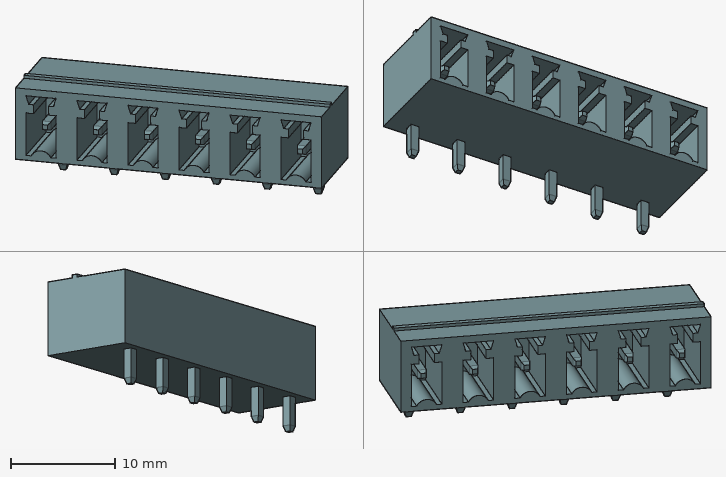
import cadquery as cq
import math

contact_count = 6
pitch = 5.08
housing_length = contact_count * pitch
housing_depth = 9.2
housing_height = 7.25

rib_front = 2.9
rib_width = 0.6
rib_height = 0.3

cavity_depth = 7.0
cavity_width = 3.0
cavity_floor = 0.5
shoulder_height = 4.8
neck_width = 1.5
neck_top = 5.7
slot_base_width = 2.45
slot_top = 6.55

hump_radius = 1.1

pin_width = 0.85
pin_tip_width = 0.5
pin_taper_length = 0.55
contact_height = 3.0
contact_tip_recess = 1.45
leg_setback_from_rear = 1.25
leg_axis_y = housing_depth - leg_setback_from_rear
leg_length = 3.4


def make_housing():
    """Plain block with the rib on its top face."""
    block = cq.Workplane("XY").box(
        housing_length, housing_depth, housing_height, centered=(True, False, False)
    )
    rib = (
        cq.Workplane("XY")
        .box(housing_length, rib_width, rib_height, centered=(True, False, False))
        .translate((0, rib_front, housing_height))
    )
    return block.union(rib)


def make_cavity():
    """Solid removed for one contact: wide lower chamber, neck and dovetail slot."""
    half_width = cavity_width / 2
    half_neck = neck_width / 2
    half_slot_base = slot_base_width / 2
    half_hump = math.sqrt(hump_radius**2 - cavity_floor**2)
    return (
        cq.Workplane("XZ")
        .moveTo(-half_hump, cavity_floor)
        .threePointArc((0, hump_radius), (half_hump, cavity_floor))
        .lineTo(half_width, cavity_floor)
        .lineTo(half_width, shoulder_height)
        .lineTo(half_neck, shoulder_height)
        .lineTo(half_neck, neck_top)
        .lineTo(half_slot_base, neck_top)
        .lineTo(half_width, slot_top)
        .lineTo(-half_width, slot_top)
        .lineTo(-half_slot_base, neck_top)
        .lineTo(-half_neck, neck_top)
        .lineTo(-half_neck, shoulder_height)
        .lineTo(-half_width, shoulder_height)
        .lineTo(-half_width, cavity_floor)
        .close()
        .extrude(-cavity_depth)
    )


def make_bar(length):
    """Square bar from the origin down to Z = -length, with a tapered lower end."""
    shank_length = length - pin_taper_length
    shank = cq.Workplane("XY").rect(pin_width, pin_width).extrude(-shank_length)
    taper = (
        cq.Workplane("XY", origin=(0, 0, -shank_length))
        .rect(pin_width, pin_width)
        .workplane(offset=-pin_taper_length)
        .rect(pin_tip_width, pin_tip_width)
        .loft(ruled=True)
    )
    return shank.union(taper)


def make_pin():
    """Right-angle pin: a contact pointing to the front and a leg pointing down."""
    leg = make_bar(contact_height + leg_length).translate((0, leg_axis_y, contact_height))
    contact = (
        make_bar(leg_axis_y - contact_tip_recess)
        .rotate((0, 0, 0), (1, 0, 0), -90)
        .translate((0, leg_axis_y, contact_height))
    )
    return leg.union(contact)


result = make_housing()
cavity = make_cavity()
pin = make_pin()
for index in range(contact_count):
    contact_position = ((index - (contact_count - 1) / 2) * pitch, 0, 0)
    result = result.cut(cavity.translate(contact_position)).union(pin.translate(contact_position))